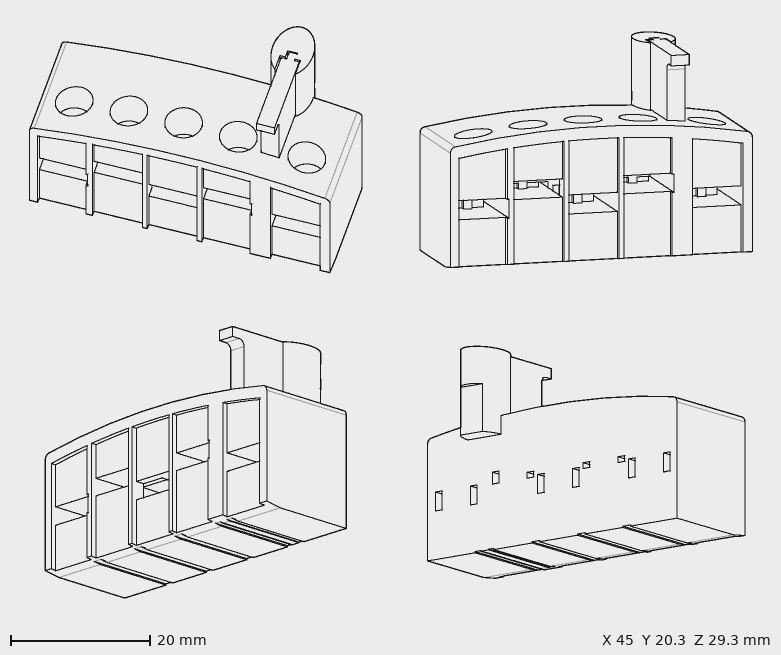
import cadquery as cq

LENGTH = 45.0
DEPTH = 16.1
CROWN_HEIGHT = 19.9
SHOULDER_HEIGHT = 17.85
SHOULDER_RADIUS = 0.9
ROOF_THICKNESS = 1.8
BOTTOM_SLOPE_LENGTH = 2.75
BOTTOM_SLOPE_RISE = 0.4

PITCH = 8.2
FIRST_CENTER = 5.0
LAST_CENTER = 39.82
EVEN_CELLS = 4
CENTERS = [FIRST_CENTER + PITCH * i for i in range(EVEN_CELLS)] + [LAST_CENTER]
LIPPED_CELLS = (0, 3)
HIGH_CELLS = (1, 3)
TALL_SLOT_CELL = 3
CELL_HALF_WIDTH = 3.75
CELL_LIP = 0.25
FACE_RECESS = 0.85
PASSAGE_FRONT = 2.35
LOW_WINDOW = (7.15, 9.95)
HIGH_WINDOW = (9.68, 12.35)
HIGH_SLOT_TOP = 10.55
TALL_SLOT_TOP = 11.45

PAD_FRONT = 8.5
PAD_RECESS = 0.9
PAD_HALF_WIDTH = 2.55
RIB_HALF_WIDTH = 0.65

HOLE_DIAMETER = 5.4
HOLE_Y = 5.75
HOLE_FLOOR = 13.5

GROOVE_DEPTH = 0.2
GROOVE_WIDTH = 1.35
WIDE_GROOVE = (33.08, 36.4)
GROOVE_RIB_DROP = 0.1

TOTAL_HEIGHT = 29.3
POST_X = 34.7
POST_Y = 15.85
POST_HALF_WIDTH = 3.0
POST_HALF_DEPTH = 4.45
POST_BOTTOM = 16.8
POST_HEAD_BOTTOM = 23.8
POST_SHANK_BACK = 19.2
SLOT_HALF_WIDTH = 1.55
SLOT_BACK = 14.55
KEY_HALF_WIDTH = 0.7
KEY_BACK = 15.65
LEVER_X = 34.8
LEVER_WIDTH = 2.7
LEVER_TIP = 1.95
LEVER_FRONT = 4.25
LEVER_BACK = 14.25
LEVER_TIP_THICKNESS = 1.55
LEVER_FILLET = 1.0
LEVER_KEY_X = 34.85
LEVER_KEY_WIDTH = 1.15
LEVER_KEY_BACK = 15.52
LEVER_ROOT = 18.0


def block(x, y, z):
    """Box spanning the given (low, high) ranges."""
    size = [high - low for low, high in (x, y, z)]
    return cq.Workplane("XY").box(*size, centered=False).translate((x[0], y[0], z[0]))


def arched_profile(inset):
    """XZ outline under the roof arc, lowered by inset from the housing outline."""
    return (
        cq.Workplane("XZ")
        .lineTo(LENGTH, 0)
        .lineTo(LENGTH, SHOULDER_HEIGHT - inset)
        .threePointArc((LENGTH / 2, CROWN_HEIGHT - inset), (0, SHOULDER_HEIGHT - inset))
        .close()
    )


def make_housing():
    body = arched_profile(0).extrude(-DEPTH)
    body = body.edges("|Y").edges(">Z").fillet(SHOULDER_RADIUS)
    slope = (
        cq.Workplane("YZ")
        .lineTo(BOTTOM_SLOPE_LENGTH, 0)
        .lineTo(0, BOTTOM_SLOPE_RISE)
        .close()
        .extrude(LENGTH)
    )
    return body.cut(slope)


def cut_cell(body, index, center):
    left = center - CELL_HALF_WIDTH
    right = center + CELL_HALF_WIDTH
    is_high = index in HIGH_CELLS
    floor, lintel = HIGH_WINDOW if is_high else LOW_WINDOW
    slot_top = HIGH_SLOT_TOP if is_high else lintel
    right_slot_top = TALL_SLOT_TOP if index == TALL_SLOT_CELL else slot_top

    panel_right = right - CELL_LIP if index in LIPPED_CELLS else right
    panel = block((left, panel_right), (0, FACE_RECESS), (0, CROWN_HEIGHT))
    body = body.cut(panel.intersect(arched_profile(ROOF_THICKNESS).extrude(-FACE_RECESS)))

    body = body.cut(block((left, right), (0, PAD_FRONT), (floor, lintel)))

    through = (PAD_FRONT, DEPTH)
    body = body.cut(block((left, center - PAD_HALF_WIDTH), through, (floor, slot_top)))
    body = body.cut(block((center + PAD_HALF_WIDTH, right), through, (floor, right_slot_top)))

    pad_depth = (PAD_FRONT, PAD_FRONT + PAD_RECESS)
    for side in (-1, 1):
        edges = sorted((center + side * RIB_HALF_WIDTH, center + side * PAD_HALF_WIDTH))
        body = body.cut(block(edges, pad_depth, (floor, slot_top)))
    return body


def cut_web_passage(body):
    """Opening through the web between cells 2 and 3."""
    left = CENTERS[1] + CELL_HALF_WIDTH
    return body.cut(
        block((left, CENTERS[2]), (PASSAGE_FRONT, PAD_FRONT), (LOW_WINDOW[0], HIGH_WINDOW[1]))
    )


def cut_screw_holes(body):
    holes = (
        cq.Workplane("XY", origin=(0, 0, HOLE_FLOOR))
        .pushPoints([(x, HOLE_Y) for x in CENTERS])
        .circle(HOLE_DIAMETER / 2)
        .extrude(CROWN_HEIGHT - HOLE_FLOOR)
    )
    return body.cut(holes)


def cut_bottom_grooves(body):
    full_depth = (0, DEPTH)
    for center in CENTERS[:EVEN_CELLS - 1]:
        middle = center + PITCH / 2
        span = (middle - GROOVE_WIDTH / 2, middle + GROOVE_WIDTH / 2)
        body = body.cut(block(span, full_depth, (0, GROOVE_DEPTH)))
    rib = (POST_X - KEY_HALF_WIDTH, POST_X + KEY_HALF_WIDTH)
    groove = block(WIDE_GROOVE, full_depth, (0, GROOVE_DEPTH))
    groove = groove.cut(block(rib, full_depth, (GROOVE_RIB_DROP, GROOVE_DEPTH)))
    return body.cut(groove)


def make_post():
    post = (
        cq.Workplane("XY", origin=(POST_X, POST_Y, POST_BOTTOM))
        .ellipse(POST_HALF_WIDTH, POST_HALF_DEPTH)
        .extrude(TOTAL_HEIGHT - POST_BOTTOM)
    )
    sides = (POST_X - POST_HALF_WIDTH, POST_X + POST_HALF_WIDTH)
    back = POST_Y + POST_HALF_DEPTH
    post = post.cut(block(sides, (POST_SHANK_BACK, back), (POST_BOTTOM, POST_HEAD_BOTTOM)))

    height = (POST_BOTTOM, TOTAL_HEIGHT)
    slot = (POST_X - SLOT_HALF_WIDTH, POST_X + SLOT_HALF_WIDTH)
    key = (POST_X - KEY_HALF_WIDTH, POST_X + KEY_HALF_WIDTH)
    post = post.cut(block(slot, (0, SLOT_BACK), height))
    return post.cut(block(key, (SLOT_BACK, KEY_BACK), height))


def make_lever():
    tip_bottom = TOTAL_HEIGHT - LEVER_TIP_THICKNESS
    left = LEVER_X - LEVER_WIDTH / 2
    plate = (
        cq.Workplane("YZ", origin=(left, 0, 0))
        .moveTo(LEVER_TIP, TOTAL_HEIGHT)
        .lineTo(LEVER_BACK, TOTAL_HEIGHT)
        .lineTo(LEVER_BACK, LEVER_ROOT)
        .lineTo(LEVER_FRONT, LEVER_ROOT)
        .lineTo(LEVER_FRONT, tip_bottom - LEVER_FILLET)
        .radiusArc((LEVER_FRONT - LEVER_FILLET, tip_bottom), -LEVER_FILLET)
        .lineTo(LEVER_TIP, tip_bottom)
        .close()
        .extrude(LEVER_WIDTH)
    )
    key = (LEVER_KEY_X - LEVER_KEY_WIDTH / 2, LEVER_KEY_X + LEVER_KEY_WIDTH / 2)
    return plate.union(block(key, (LEVER_BACK, LEVER_KEY_BACK), (LEVER_ROOT, TOTAL_HEIGHT)))


housing = make_housing()
for cell_index, cell_center in enumerate(CENTERS):
    housing = cut_cell(housing, cell_index, cell_center)
housing = cut_web_passage(housing)
housing = cut_screw_holes(housing)
housing = cut_bottom_grooves(housing)

result = housing.union(make_post()).union(make_lever())